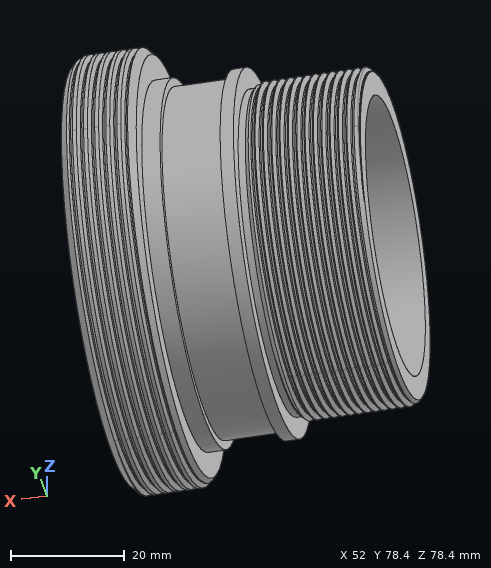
import cadquery as cq
import math

small_thread_length = 20.7
collar_start = 22.0
collar_end = 24.4
neck_end = 35.2
large_thread_start = 38.5
overall_length = 52.0

bore_diameter = 50.0
collar_diameter = 66.2
neck_diameter = 63.0
small_thread_diameter = 60.4
large_thread_diameter = 78.4

small_thread_pitch = 1.5
small_thread_depth = 0.92
small_thread_root_width = 0.25
small_thread_chamfer = 1.0
small_groove_station = 1.2
relief_diameter = small_thread_diameter - 2 * small_thread_chamfer

large_thread_pitch = 2.0
large_thread_depth = 0.9
large_thread_root_width = 0.25
large_thread_chamfer = 1.5
large_groove_station = 43.8

flank_angle = 30
flank_slope = math.tan(math.radians(flank_angle))
groove_overshoot = 0.1


def cylinder(start, end, diameter):
    """Solid cylinder on the X axis between two stations."""
    return cq.Workplane("YZ", origin=(start, 0, 0)).circle(diameter / 2).extrude(end - start)


def groove_half_turn(outline, pitch):
    """Half a turn of a helical bar about Z, from the +X side, with ruled helical faces."""
    rise = pitch / 2
    start_face = cq.Face.makeFromWires(
        cq.Wire.makePolygon([cq.Vector(radius, 0, height) for radius, height in outline], close=True)
    )
    end_face = start_face.rotate(cq.Vector(), cq.Vector(0, 0, 1), 180).translate(cq.Vector(0, 0, rise))
    edges = [
        cq.Wire.makeHelix(pitch, rise, radius).translate(cq.Vector(0, 0, height))
        for radius, height in outline
    ]
    faces = [start_face, end_face]
    for edge, next_edge in zip(edges, edges[1:] + edges[:1]):
        faces.extend(cq.Face.makeRuledSurface(edge, next_edge).Faces())
    return cq.Workplane(cq.Solid.makeSolid(cq.Shell.makeShell(faces)).fix())


def cut_thread_groove(blank, start, end, diameter, pitch, depth, root_width, station):
    """Cut a helical V groove that runs past both ends of the blank."""
    root_radius = diameter / 2 - depth
    mouth_radius = diameter / 2 + groove_overshoot
    half_root = root_width / 2
    half_mouth = half_root + (mouth_radius - root_radius) * flank_slope
    outline = [
        (root_radius, -half_root),
        (mouth_radius, -half_mouth),
        (mouth_radius, half_mouth),
        (root_radius, half_root),
    ]
    half_turn = groove_half_turn(outline, pitch).rotate((0, 0, 0), (0, 1, 0), 90)

    first_turn = station - pitch * math.ceil((station - start) / pitch + 1)
    turns = math.ceil((end - first_turn) / pitch) + 1
    for index in range(2 * turns):
        piece = half_turn.rotate((0, 0, 0), (1, 0, 0), 180 * index)
        blank = blank.cut(piece.translate((first_turn + index * pitch / 2, 0, 0)), clean=False)
    return blank


def threaded_length(start, end, diameter, chamfer, pitch, depth, root_width, station):
    """Externally threaded cylinder, chamfered at both ends."""
    blank = cylinder(start, end, diameter).edges("%CIRCLE").chamfer(chamfer)
    return cut_thread_groove(blank, start, end, diameter, pitch, depth, root_width, station)


def plain_body():
    """Relief, collar, neck and shoulder between the two threads."""
    relief = cylinder(small_thread_length, collar_start, relief_diameter)
    collar = cylinder(collar_start, collar_end, collar_diameter)
    neck = cylinder(collar_end, neck_end, neck_diameter)
    shoulder = cylinder(neck_end, large_thread_start, collar_diameter)
    return relief.union(collar).union(neck).union(shoulder)


small_thread = threaded_length(
    0, small_thread_length, small_thread_diameter, small_thread_chamfer,
    small_thread_pitch, small_thread_depth, small_thread_root_width, small_groove_station,
)
large_thread = threaded_length(
    large_thread_start, overall_length, large_thread_diameter, large_thread_chamfer,
    large_thread_pitch, large_thread_depth, large_thread_root_width, large_groove_station,
)
bore = cylinder(0, overall_length, bore_diameter)

result = plain_body().union(small_thread).union(large_thread).cut(bore)